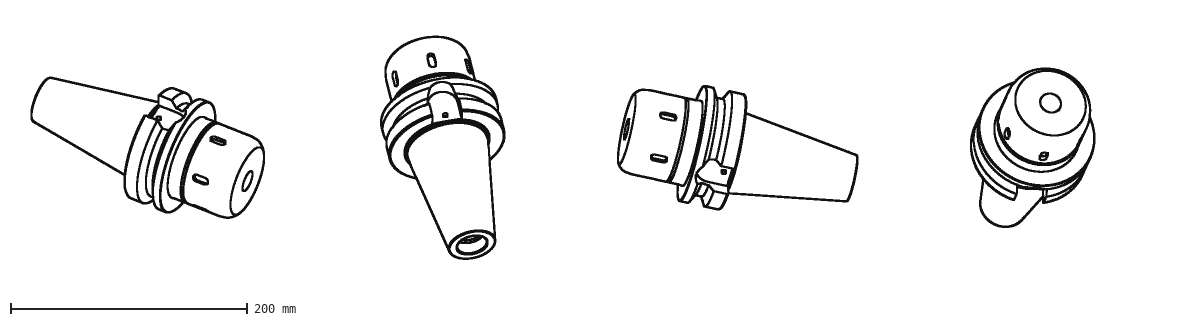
import cadquery as cq
import math


overall_length = 196.8
taper_ratio = 7 / 24
taper_length = 101.4
taper_large_diameter = 69.9
taper_end_chamfer = 0.5
land_end = 102.7
neck_start = 103.5
neck_diameter = 68.9

flange_start = 104.7
flange_end = 139.7
flange_diameter = 100.0
flange_front_chamfer = 1.0
flange_rear_chamfer = 0.4
relief_diameter = 73.0
relief_depth = 0.8
relief_chamfer = 0.4
groove_center = 125.0
groove_floor_width = 6.3
groove_floor_diameter = 84.6
groove_side_angle = 30.0

drive_slot_width = 25.5
drive_slot_end = 136.0
drive_slot_floor = 35.2
coolant_hole_x = 111.8
coolant_hole_diameter = 3.3
coolant_mouth_diameter = 4.0
coolant_mouth_depth = 4.0

collar_diameter = 73.6
collar_cone_start = 141.0
collar_cone_end = 142.0
nut_diameter = 73.0
nut_groove_start = 152.0
nut_groove_end = 154.3
nut_groove_diameter = 72.0
nose_start = 184.5
nose_edges = [
    (190.5, 71.2),
    (192.7, 69.3),
    (195.2, 65.0),
    (196.6, 61.0),
]
end_face_diameter = 47.2

wrench_slot_count = 6
wrench_slot_center = 168.5
wrench_slot_length = 14.0
wrench_slot_width = 6.0
wrench_slot_depth = 3.5

pilot_diameter = 25.4
pilot_chamfer = 0.8
pilot_depth = 11.5
thread_mouth_diameter = 24.0
thread_diameter = 21.0
thread_end = 39.4
through_diameter = 18.0


def make_body():
    taper_large = taper_large_diameter / 2
    taper_small = taper_large - taper_length * taper_ratio / 2
    flange = flange_diameter / 2
    groove_floor = groove_floor_diameter / 2
    half_floor = groove_floor_width / 2
    half_mouth = half_floor + (flange - groove_floor) * math.tan(math.radians(groove_side_angle))
    nut = nut_diameter / 2
    nose = [(x, diameter / 2) for x, diameter in nose_edges]
    outline = (
        cq.Workplane("XY")
        .moveTo(0, 0)
        .lineTo(0, taper_small - taper_end_chamfer)
        .lineTo(taper_end_chamfer, taper_small)
        .lineTo(taper_length, taper_large)
        .lineTo(land_end, taper_large)
        .lineTo(neck_start, neck_diameter / 2)
        .lineTo(flange_start + relief_depth, neck_diameter / 2)
        .lineTo(flange_start + relief_depth, relief_diameter / 2)
        .lineTo(flange_start + relief_chamfer, relief_diameter / 2)
        .lineTo(flange_start, relief_diameter / 2 + relief_chamfer)
        .lineTo(flange_start, flange - flange_front_chamfer)
        .lineTo(flange_start + flange_front_chamfer, flange)
        .lineTo(groove_center - half_mouth, flange)
        .lineTo(groove_center - half_floor, groove_floor)
        .lineTo(groove_center + half_floor, groove_floor)
        .lineTo(groove_center + half_mouth, flange)
        .lineTo(flange_end - flange_rear_chamfer, flange)
        .lineTo(flange_end, flange - flange_rear_chamfer)
        .lineTo(flange_end, collar_diameter / 2)
        .lineTo(collar_cone_start, collar_diameter / 2)
        .lineTo(collar_cone_end, nut)
        .lineTo(nut_groove_start, nut)
        .lineTo(nut_groove_start, nut_groove_diameter / 2)
        .lineTo(nut_groove_end, nut_groove_diameter / 2)
        .lineTo(nut_groove_end, nut)
        .lineTo(nose_start, nut)
        .polyline(nose, includeCurrent=True)
        .lineTo(overall_length, end_face_diameter / 2)
        .lineTo(overall_length, 0)
        .close()
    )
    return outline.revolve(360, (0, 0, 0), (1, 0, 0))


def make_bore():
    pilot = pilot_diameter / 2
    thread_mouth = thread_mouth_diameter / 2
    thread = thread_diameter / 2
    through = through_diameter / 2
    outline = (
        cq.Workplane("XY")
        .moveTo(0, 0)
        .lineTo(0, pilot + pilot_chamfer)
        .lineTo(pilot_chamfer, pilot)
        .lineTo(pilot_depth, pilot)
        .lineTo(pilot_depth, thread_mouth)
        .lineTo(pilot_depth + thread_mouth - thread, thread)
        .lineTo(thread_end, thread)
        .lineTo(thread_end + thread - through, through)
        .lineTo(overall_length, through)
        .lineTo(overall_length, 0)
        .close()
    )
    return outline.revolve(360, (0, 0, 0), (1, 0, 0))


def make_drive_slot():
    height = flange_diameter / 2
    round_center = drive_slot_end - drive_slot_width / 2
    plane = cq.Workplane("XY").workplane(offset=drive_slot_floor)
    straight = plane.center((flange_start + round_center) / 2, 0).rect(
        round_center - flange_start, drive_slot_width
    ).extrude(height)
    rounded = plane.center(round_center, 0).circle(drive_slot_width / 2).extrude(height)
    return straight.union(rounded)


def make_coolant_hole():
    """Stepped hole from the floor of a drive slot to the axis."""
    narrow = (
        cq.Workplane("XY")
        .center(coolant_hole_x, 0)
        .circle(coolant_hole_diameter / 2)
        .extrude(drive_slot_floor)
    )
    mouth = (
        cq.Workplane("XY")
        .workplane(offset=drive_slot_floor - coolant_mouth_depth)
        .center(coolant_hole_x, 0)
        .circle(coolant_mouth_diameter / 2)
        .extrude(coolant_mouth_depth)
    )
    return narrow.union(mouth)


def make_wrench_slot():
    return (
        cq.Workplane("XY")
        .workplane(offset=nut_diameter / 2 - wrench_slot_depth)
        .center(wrench_slot_center, 0)
        .slot2D(wrench_slot_length, wrench_slot_width)
        .extrude(nut_diameter / 2)
    )


def turned(shape, angle):
    return shape.rotate((0, 0, 0), (1, 0, 0), angle)


result = make_body().cut(make_bore())
for angle in (0, 180):
    result = result.cut(turned(make_drive_slot(), angle))
    result = result.cut(turned(make_coolant_hole(), angle))
for index in range(wrench_slot_count):
    result = result.cut(turned(make_wrench_slot(), index * 360 / wrench_slot_count))